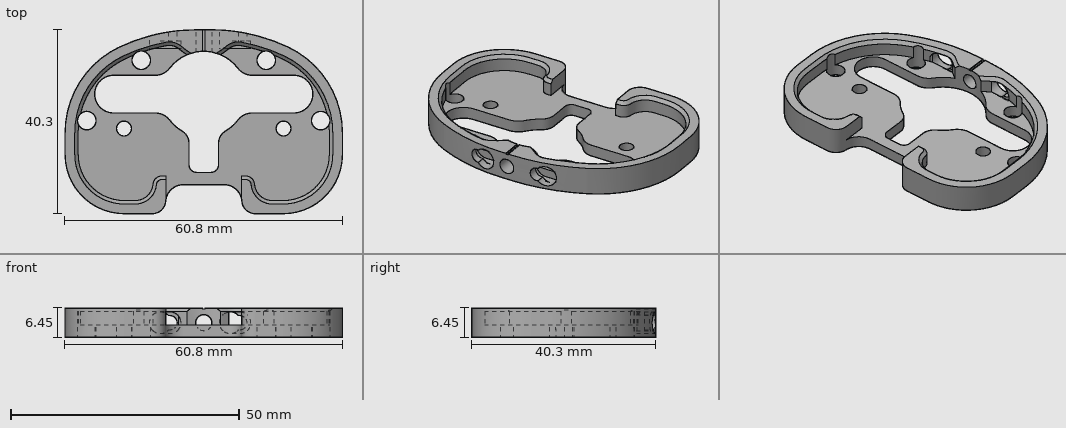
import cadquery as cq
import math

width = 60.76
height = 6.45
top_y = 14.11
bottom_y = -26.2
half_width = width / 2

corner_radius = 13.0
side_radius = 20.82
side_arc_y = -8.5
back_radius = 39.73
hook_half_gap = 8.3
hook_radius = 3.0
bridge_front_y = -19.85
bridge_flat_half_length = 4.5

floor_height = 2.75
rim_chamfer = 0.76
rim_width = 2.14
wall = rim_width + rim_chamfer
hook_tip_y = -17.9
hook_inner_radius = 3.9
hook_inner_x = 15.0
hook_tip_radius = 2.0
nose_root = (5.56, 10.0)
nose_shoulder = (4.2, 8.95)
nose_tip = (3.0, 8.2)

opening_radius = 9.36
slot_half_height = 4.1
slot_end_x = 19.75
slot_fillet = 4.0
stem_half_width = 3.2
stem_bottom_y = -17.1
stem_top_fillet = 3.2
stem_bottom_fillet = 1.6

vertical_holes = [
    (13.68, 7.42, 4.0),
    (25.6, -5.8, 4.0),
    (17.46, -7.53, 3.2),
]

cross_hole_z = 3.22
nose_hole_diameter = 3.5
groove_width = 0.54
groove_depth = 0.2
keyhole_head_diameter = 4.76
keyhole_neck_width = 3.1
keyhole_travel = 2.1
keyhole_head_xs = (-9.5, 5.8)
keyhole_start_y = 9.95
keyhole_lip_y = 11.65

overcut = 5.0


def polar(center, radius, angle):
    """Point on a circle, with the angle in radians."""
    return (center[0] + radius * math.cos(angle), center[1] + radius * math.sin(angle))


def direction(start, end):
    """Angle of the ray from start to end."""
    return math.atan2(end[1] - start[1], end[0] - start[0])


def add_arc(path, center, radius, start, end):
    """Extend the path along a circle between two angles."""
    middle = polar(center, radius, (start + end) / 2)
    return path.threePointArc(middle, polar(center, radius, end))


corner_center = (half_width - corner_radius, bottom_y + corner_radius)
side_center = (half_width - side_radius, side_arc_y)
back_center_y = top_y - back_radius
back_center_x = side_center[0] - math.sqrt(
    (back_radius - side_radius) ** 2 - (side_arc_y - back_center_y) ** 2
)
back_center = (back_center_x, back_center_y)
shoulder_angle = direction(back_center, side_center)


def outer_body():
    hook_center = (hook_half_gap + hook_radius, bottom_y + hook_radius)
    run = hook_center[0] - bridge_flat_half_length
    drop = bridge_front_y - hook_center[1]
    fillet_radius = (run ** 2 + drop ** 2 - hook_radius ** 2) / (2 * (drop + hook_radius))
    fillet_center = (bridge_flat_half_length, bridge_front_y - fillet_radius)
    contact_angle = direction(fillet_center, hook_center)

    path = cq.Workplane("XY").moveTo(0, bridge_front_y)
    path = path.lineTo(bridge_flat_half_length, bridge_front_y)
    path = add_arc(path, fillet_center, fillet_radius, math.pi / 2, contact_angle)
    path = add_arc(path, hook_center, hook_radius, math.pi + contact_angle, 1.5 * math.pi)
    path = path.lineTo(corner_center[0], bottom_y)
    path = add_arc(path, corner_center, corner_radius, -math.pi / 2, 0)
    path = path.lineTo(half_width, side_arc_y)
    path = add_arc(path, side_center, side_radius, 0, shoulder_angle)
    path = add_arc(path, back_center, back_radius, shoulder_angle, math.pi / 2)
    path = path.lineTo(0, top_y)
    return path.mirrorY().extrude(height)


def pocket():
    """Straight-walled pocket, following the foot of the rim chamfer."""
    inner_center = (hook_inner_x, bottom_y + wall + hook_inner_radius)
    tip_center_y = hook_tip_y - hook_tip_radius
    tip_center_x = inner_center[0] - math.sqrt(
        (hook_inner_radius + hook_tip_radius) ** 2 - (tip_center_y - inner_center[1]) ** 2
    )
    tip_center = (tip_center_x, tip_center_y)
    tip_angle = direction(tip_center, inner_center)
    inner_start = direction(inner_center, tip_center) % (2 * math.pi)

    back_inner_radius = back_radius - wall
    flank_angle = direction(nose_root, nose_shoulder)
    normal_angle = flank_angle + math.pi / 2
    offset_x = nose_root[0] - back_center[0]
    offset_y = nose_root[1] - back_center[1]
    along_normal = offset_x * math.cos(normal_angle) + offset_y * math.sin(normal_angle)
    root_radius = (back_inner_radius ** 2 - offset_x ** 2 - offset_y ** 2) / (
        2 * (back_inner_radius + along_normal)
    )
    root_center = polar(nose_root, root_radius, normal_angle)
    back_end = direction(back_center, root_center)

    path = cq.Workplane("XY", origin=(0, 0, floor_height)).moveTo(0, hook_tip_y)
    path = path.lineTo(tip_center[0], hook_tip_y)
    path = add_arc(path, tip_center, hook_tip_radius, math.pi / 2, tip_angle)
    path = add_arc(path, inner_center, hook_inner_radius, inner_start, 1.5 * math.pi)
    path = path.lineTo(corner_center[0], bottom_y + wall)
    path = add_arc(path, corner_center, corner_radius - wall, -math.pi / 2, 0)
    path = path.lineTo(half_width - wall, side_arc_y)
    path = add_arc(path, side_center, side_radius - wall, 0, shoulder_angle)
    path = add_arc(path, back_center, back_inner_radius, shoulder_angle, back_end)
    path = add_arc(path, root_center, root_radius, back_end, normal_angle + math.pi)
    path = path.lineTo(*nose_shoulder).lineTo(*nose_tip)
    path = path.lineTo(nose_tip[0], 0).lineTo(0, 0)
    return path.mirrorY().extrude(height)


def rim_body():
    """Body with its pocket and the chamfer around the pocket mouth."""
    body = outer_body().cut(pocket())
    mouth = body.faces(">Z").val().innerWires()[0]
    return body.newObject(mouth.Edges()).chamfer(rim_chamfer)


def hook_gap():
    """Clears the space between the hooks above the bridge."""
    depth = hook_tip_y - bottom_y
    center_y = (hook_tip_y + bottom_y) / 2
    plane = cq.Workplane("XY", origin=(0, center_y, floor_height))
    return plane.rect(2 * hook_half_gap, depth).extrude(height)


def central_opening():
    """Round opening with a cross slot and a stem, the meeting corners rounded."""
    fillet_y = slot_half_height + slot_fillet
    fillet_x = math.sqrt((opening_radius + slot_fillet) ** 2 - fillet_y ** 2)
    fillet_angle = math.atan2(fillet_y, fillet_x)
    stem_x = stem_half_width + stem_top_fillet
    stem_y = -math.sqrt((opening_radius + stem_top_fillet) ** 2 - stem_x ** 2)
    stem_angle = math.atan2(stem_y, stem_x)
    foot_center = (stem_half_width - stem_bottom_fillet, stem_bottom_y + stem_bottom_fillet)

    path = cq.Workplane("XY").moveTo(0, stem_bottom_y).lineTo(foot_center[0], stem_bottom_y)
    path = add_arc(path, foot_center, stem_bottom_fillet, -math.pi / 2, 0)
    path = path.lineTo(stem_half_width, stem_y)
    path = add_arc(path, (stem_x, stem_y), stem_top_fillet, math.pi, stem_angle + math.pi)
    path = add_arc(path, (0, 0), opening_radius, stem_angle, -fillet_angle)
    path = add_arc(path, (fillet_x, -fillet_y), slot_fillet, math.pi - fillet_angle, math.pi / 2)
    path = path.lineTo(slot_end_x, -slot_half_height)
    path = add_arc(path, (slot_end_x, 0), slot_half_height, -math.pi / 2, math.pi / 2)
    path = path.lineTo(fillet_x, slot_half_height)
    path = add_arc(path, (fillet_x, fillet_y), slot_fillet, 1.5 * math.pi, math.pi + fillet_angle)
    path = add_arc(path, (0, 0), opening_radius, fillet_angle, math.pi / 2)
    return path.mirrorY().extrude(height)


def mounting_holes():
    """Vertical holes on both sides of the Y axis; those near the rim also notch its wall."""
    tools = cq.Workplane("XY")
    for x, y, diameter in vertical_holes:
        pair = cq.Workplane("XY").pushPoints([(x, y), (-x, y)])
        tools = tools.add(pair.circle(diameter / 2).extrude(height))
    return tools.combine()


def cross_plane(x, y):
    """Upright work plane whose extrusions run towards -Y, at the height of the cross holes."""
    return cq.Workplane("XZ", origin=(x, y, cross_hole_z))


def nose_hole():
    return cross_plane(0, top_y + overcut).circle(nose_hole_diameter / 2).extrude(top_y + overcut)


def keyhole(head_x):
    """Keyhole through the back wall: round head, narrow neck and a wide recess behind the lip."""
    back_y = top_y + overcut
    middle_x = head_x + keyhole_travel / 2
    head = cross_plane(head_x, back_y).circle(keyhole_head_diameter / 2)
    head = head.extrude(back_y - keyhole_start_y)
    neck = cross_plane(middle_x, back_y).slot2D(keyhole_travel + keyhole_neck_width, keyhole_neck_width)
    neck = neck.extrude(back_y - keyhole_start_y)
    recess_length = keyhole_travel + keyhole_head_diameter
    recess = cross_plane(middle_x, keyhole_lip_y).slot2D(recess_length, keyhole_head_diameter)
    recess = recess.extrude(keyhole_lip_y - keyhole_start_y)
    return head.union(neck).union(recess)


def nose_groove():
    """Shallow centre mark across the top of the nose."""
    plane = cq.Workplane("XY", origin=(0, top_y, height - groove_depth))
    return plane.rect(groove_width, 2 * top_y).extrude(overcut)


result = rim_body().cut(hook_gap()).cut(central_opening()).cut(mounting_holes())
result = result.cut(nose_hole()).cut(nose_groove())
for head_x in keyhole_head_xs:
    result = result.cut(keyhole(head_x))